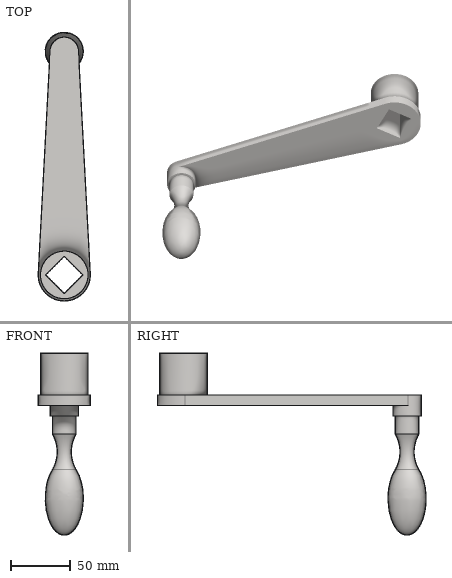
import cadquery as cq
import math

ARM_LENGTH = 188.0
ARM_THICKNESS = 9.0
HUB_END_RADIUS = 22.0
GRIP_END_RADIUS = 12.0

HUB_DIAMETER = 40.0
HUB_HEIGHT = 35.0
SQUARE_SIDE = 22.0

BOSS_HEIGHT = 9.0

COLLAR_RADIUS = 10.0
COLLAR_LENGTH = 15.0
NECK_LENGTH = 30.0
NECK_WAIST_RADIUS = 6.0
BULB_LENGTH = 55.0
BULB_RADIUS = 16.1


def make_arm():
    """Flat bar bounded by two end arcs and their common tangent lines."""
    tangent_sine = (HUB_END_RADIUS - GRIP_END_RADIUS) / ARM_LENGTH
    tangent_cosine = math.sqrt(1 - tangent_sine**2)
    hub_x = HUB_END_RADIUS * tangent_cosine
    hub_y = HUB_END_RADIUS * tangent_sine
    grip_x = GRIP_END_RADIUS * tangent_cosine
    grip_y = ARM_LENGTH + GRIP_END_RADIUS * tangent_sine
    return (
        cq.Workplane("XY")
        .moveTo(hub_x, hub_y)
        .lineTo(grip_x, grip_y)
        .threePointArc((0, ARM_LENGTH + GRIP_END_RADIUS), (-grip_x, grip_y))
        .lineTo(-hub_x, hub_y)
        .threePointArc((0, -HUB_END_RADIUS), (hub_x, hub_y))
        .close()
        .extrude(ARM_THICKNESS)
    )


def make_hub():
    """Round hub standing on top of the arm."""
    return cq.Workplane("XY").circle(HUB_DIAMETER / 2).extrude(ARM_THICKNESS + HUB_HEIGHT)


def make_socket():
    """Square through-hole with its corners on the X and Y axes."""
    return (
        cq.Workplane("XY")
        .rect(SQUARE_SIDE, SQUARE_SIDE)
        .extrude(ARM_THICKNESS + HUB_HEIGHT)
        .rotate((0, 0, 0), (0, 0, 1), 45)
    )


def make_boss():
    """Short cylinder under the small end of the arm, flush with its rounded end."""
    return (
        cq.Workplane("XY", origin=(0, ARM_LENGTH, -BOSS_HEIGHT))
        .circle(GRIP_END_RADIUS)
        .extrude(BOSS_HEIGHT + ARM_THICKNESS)
    )


def make_grip():
    """Revolved grip hanging below the boss."""
    collar_end = -BOSS_HEIGHT - COLLAR_LENGTH
    neck_middle = collar_end - NECK_LENGTH / 2
    neck_end = collar_end - NECK_LENGTH
    tip = neck_end - BULB_LENGTH

    cut_ratio = math.sqrt(1 - (COLLAR_RADIUS / BULB_RADIUS) ** 2)
    half_axis = BULB_LENGTH / (1 + cut_ratio)
    cut_angle = math.degrees(math.asin(cut_ratio))

    return (
        cq.Workplane("YZ", origin=(0, ARM_LENGTH, 0))
        .moveTo(0, tip)
        .ellipseArc(BULB_RADIUS, half_axis, -90, cut_angle)
        .threePointArc((NECK_WAIST_RADIUS, neck_middle), (COLLAR_RADIUS, collar_end))
        .lineTo(COLLAR_RADIUS, 0)
        .lineTo(0, 0)
        .close()
        .revolve(360, (0, 0, 0), (0, 1, 0))
    )


result = make_arm().union(make_hub()).union(make_boss()).union(make_grip()).cut(make_socket())